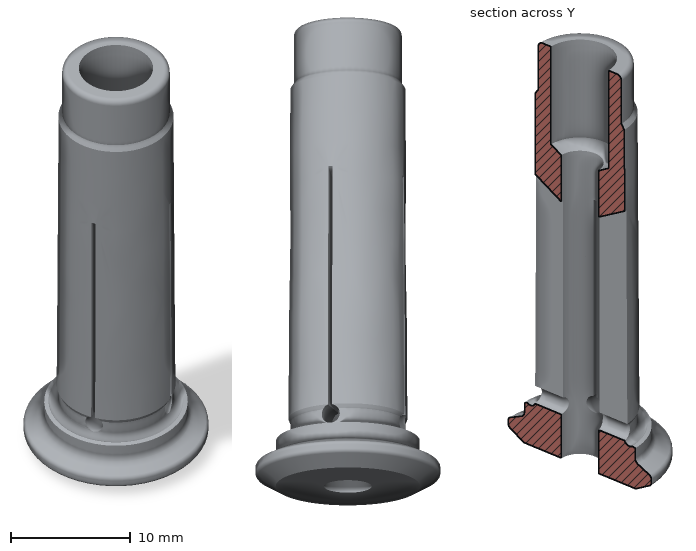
import cadquery as cq
import math

total_height = 39.5
slot_bottom_hole_z = 5.05
neck_bottom_z = 4.42
neck_top_z = 5.5
sleeve_bottom_z = 5.85
slot_top_z = 26.45
bore_floor_z = 30.02
shoulder_z = 34.35
spigot_z = 34.85

spigot_radius = 9.0 / 2
sleeve_top_radius = 4.8
sleeve_radius = 4.98
neck_radius = 4.8
top_edge_round = 0.47

collar_radius = 12.0 / 2
collar_top_z = 4.03
collar_edge_z = 3.95
collar_land_radius = 5.65
collar_bottom_z = 2.95
groove_width = collar_land_radius - neck_radius
groove_rise = neck_bottom_z - collar_top_z
groove_arc_radius = (groove_width**2 + groove_rise**2) / (2 * groove_width)
collar_fillet = 0.5
head_radius = 15.5 / 2
head_bottom_radius = 6.05
rim_bottom_z = 1.2
rim_top_z = 1.58
upper_rim_round = 0.4
lower_rim_round = 0.35

cone_angle = math.radians(30)
bore_radius = 6.2 / 2
through_radius = 4.0 / 2
slot_width = 0.35
relief_hole_diameter = 1.58


def arc_point(center, radius, angle):
    """Point (radius from axis, height) on a circle in the profile plane."""
    return center[0] + radius * math.cos(angle), center[1] + radius * math.sin(angle)


def make_body():
    """Revolve the complete outside profile."""
    normal_angle = math.pi / 2 - cone_angle
    lower_center = (head_radius - lower_rim_round, rim_bottom_z)
    upper_center = (head_radius - upper_rim_round, rim_top_z)
    fillet_center = (collar_radius + collar_fillet, collar_bottom_z)
    groove_center = (neck_radius + groove_arc_radius, neck_bottom_z)
    fillet_end_angle = math.pi + normal_angle
    top_center = (spigot_radius - top_edge_round, total_height - top_edge_round)

    profile = (
        cq.Workplane("XZ")
        .moveTo(0, 0)
        .lineTo(head_bottom_radius, 0)
        .lineTo(*arc_point(lower_center, lower_rim_round, -normal_angle))
        .threePointArc(
            arc_point(lower_center, lower_rim_round, -normal_angle / 2),
            (head_radius, rim_bottom_z),
        )
        .lineTo(head_radius, rim_top_z)
        .threePointArc(
            arc_point(upper_center, upper_rim_round, normal_angle / 2),
            arc_point(upper_center, upper_rim_round, normal_angle),
        )
        .lineTo(*arc_point(fillet_center, collar_fillet, fillet_end_angle))
        .threePointArc(
            arc_point(fillet_center, collar_fillet, math.pi + normal_angle / 2),
            (collar_radius, collar_bottom_z),
        )
        .lineTo(collar_radius, collar_edge_z)
        .lineTo(collar_land_radius, collar_top_z)
        .threePointArc(
            arc_point(groove_center, groove_arc_radius, 1.25 * math.pi),
            (neck_radius, neck_bottom_z),
        )
        .lineTo(neck_radius, neck_top_z)
        .lineTo(sleeve_radius, sleeve_bottom_z)
        .lineTo(sleeve_top_radius, shoulder_z)
        .lineTo(spigot_radius, spigot_z)
        .lineTo(spigot_radius, total_height - top_edge_round)
        .threePointArc(
            arc_point(top_center, top_edge_round, math.pi / 4),
            (spigot_radius - top_edge_round, total_height),
        )
        .lineTo(0, total_height)
        .close()
    )
    return profile.revolve(360, (0, 0, 0), (0, 1, 0))


def make_bore():
    """Through hole opening through a cone into the wider upper bore."""
    cone_bottom_z = bore_floor_z - (bore_radius - through_radius) * math.tan(cone_angle)
    return (
        cq.Workplane("XZ")
        .moveTo(0, 0)
        .lineTo(through_radius, 0)
        .lineTo(through_radius, cone_bottom_z)
        .lineTo(bore_radius, bore_floor_z)
        .lineTo(bore_radius, total_height)
        .lineTo(0, total_height)
        .close()
        .revolve(360, (0, 0, 0), (0, 1, 0))
    )


def make_cross_slot():
    """Slot across the whole sleeve along Y, its top end sloping down to the axis."""
    reach = head_radius
    slope = math.tan(cone_angle)
    end_z = slot_top_z + (reach - sleeve_top_radius) * slope
    axis_z = slot_top_z - sleeve_top_radius * slope
    slot = (
        cq.Workplane("YZ")
        .polyline(
            [
                (-reach, slot_bottom_hole_z),
                (reach, slot_bottom_hole_z),
                (reach, end_z),
                (0, axis_z),
                (-reach, end_z),
            ]
        )
        .close()
        .extrude(slot_width / 2, both=True)
    )
    relief_hole = (
        cq.Workplane("XZ")
        .center(0, slot_bottom_hole_z)
        .circle(relief_hole_diameter / 2)
        .extrude(reach, both=True)
    )
    return slot.union(relief_hole)


result = make_body().cut(make_bore())
for turn in (0, 90):
    result = result.cut(make_cross_slot().rotate((0, 0, 0), (0, 0, 1), turn))